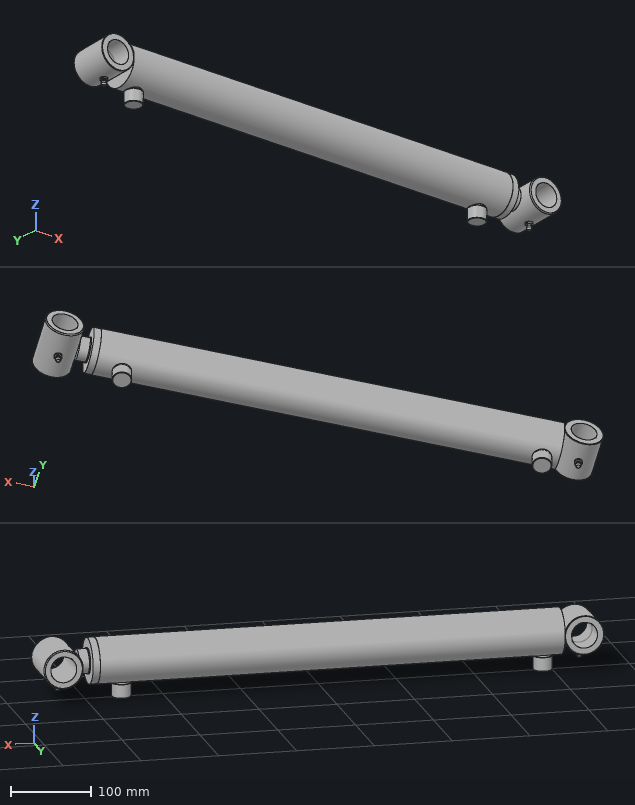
import cadquery as cq


eye_diameter = 50.5
eye_bore = 33.0
base_eye_width = 58.5
rod_eye_width = 70.0
base_eye_chamfer = 1.0
rod_eye_chamfer = 1.5
overall_length = 721.0
eye_spacing = overall_length - eye_diameter
eye_radius = eye_diameter / 2

barrel_diameter = 60.0
cap_diameter = 59.0
cap_length = 9.5
weld_overlap = 0.35
barrel_start = eye_radius - weld_overlap
cap_end = 632.0
cap_start = cap_end - cap_length
lip_diameter = 33.0
lip_length = 1.5
lip_end = cap_end + lip_length

rod_diameter = 32.0
rod_end = eye_spacing - eye_radius + weld_overlap
rod_start = cap_start

port_diameter = 24.5
port_neck_diameter = 21.5
port_neck_gap = 1.0
port_chamfer = 1.0
overall_height = 78.5
port_top = barrel_diameter / 2 + port_neck_gap
port_bottom = overall_height - barrel_diameter / 2
port_positions = (47.0, 588.5)

nipple_stem_diameter = 6.5
nipple_stem_depth = 4.0
nipple_collar_diameter = 10.0
nipple_collar_bottom = 27.5
nipple_neck_diameter = 6.0
nipple_neck_bottom = 29.5
nipple_head_diameter = 7.0
nipple_head_bottom = 32.5
nipple_tip_diameter = 5.0
nipple_bottom = 35.0
nipple_top = eye_radius - nipple_stem_depth


def cylinder_x(diameter, start, end):
    """Solid cylinder on the X axis between two X positions."""
    return cq.Workplane("YZ", origin=(start, 0, 0)).circle(diameter / 2).extrude(end - start)


def eye_blank(x, width, chamfer):
    """Solid eye with chamfered end faces, its axis along Y."""
    blank = cq.Workplane("XZ", origin=(x, width / 2, 0)).circle(eye_radius).extrude(width)
    return blank.faces("|Y").chamfer(chamfer)


def eye_hole(x):
    """Pin bore of an eye, longer than the widest eye."""
    return cq.Workplane("XZ", origin=(x, 0, 0)).circle(eye_bore / 2).extrude(rod_eye_width, both=True)


def port(x):
    """Port boss hanging below the barrel on a narrower weld neck."""
    neck = cq.Workplane("XY", origin=(x, 0, 0)).circle(port_neck_diameter / 2).extrude(-port_top)
    boss = (
        cq.Workplane("XY", origin=(x, 0, -port_top))
        .circle(port_diameter / 2)
        .extrude(port_top - port_bottom)
        .faces("<Z")
        .chamfer(port_chamfer)
    )
    return neck.union(boss)


def grease_nipple(x):
    """Turned nipple: a stem set into the eye wall, a collar, a neck and a tapered head."""
    profile = (
        cq.Workplane("XZ")
        .moveTo(0, -nipple_top)
        .lineTo(nipple_stem_diameter / 2, -nipple_top)
        .lineTo(nipple_stem_diameter / 2, -eye_radius)
        .lineTo(nipple_collar_diameter / 2, -eye_radius)
        .lineTo(nipple_collar_diameter / 2, -nipple_collar_bottom)
        .lineTo(nipple_neck_diameter / 2, -nipple_collar_bottom)
        .lineTo(nipple_neck_diameter / 2, -nipple_neck_bottom)
        .lineTo(nipple_head_diameter / 2, -nipple_neck_bottom)
        .lineTo(nipple_head_diameter / 2, -nipple_head_bottom)
        .lineTo(nipple_tip_diameter / 2, -nipple_bottom)
        .lineTo(0, -nipple_bottom)
        .close()
    )
    return profile.revolve(360, (0, 0, 0), (0, 1, 0)).translate((x, 0, 0))


base_nipple, rod_nipple = [grease_nipple(x) for x in (0, eye_spacing)]

barrel = cylinder_x(barrel_diameter, barrel_start, cap_start)
barrel = barrel.union(cylinder_x(cap_diameter, cap_start, cap_end))
barrel = barrel.union(cylinder_x(lip_diameter, cap_end, lip_end))
for port_x in port_positions:
    barrel = barrel.union(port(port_x))
barrel = barrel.union(eye_blank(0, base_eye_width, base_eye_chamfer))
barrel = barrel.cut(eye_hole(0))
barrel = barrel.cut(cylinder_x(rod_diameter, rod_start, lip_end))
barrel = barrel.cut(base_nipple)

rod = cylinder_x(rod_diameter, rod_start, rod_end)
rod = rod.union(eye_blank(eye_spacing, rod_eye_width, rod_eye_chamfer))
rod = rod.cut(eye_hole(eye_spacing))
rod = rod.cut(rod_nipple)

result = cq.Compound.makeCompound([barrel.val(), rod.val(), base_nipple.val(), rod_nipple.val()])